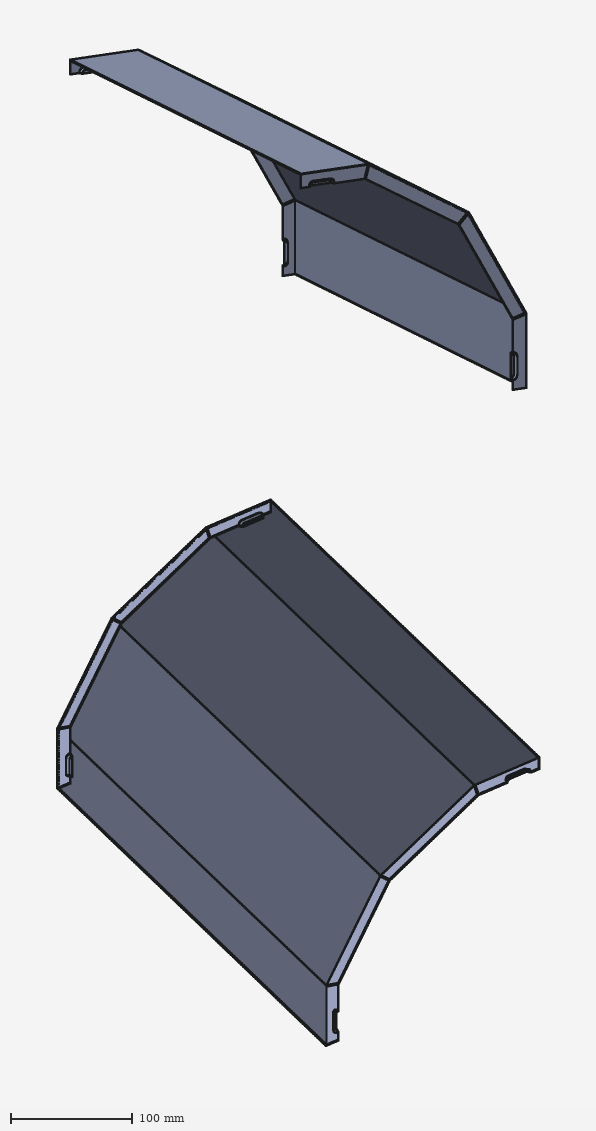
import cadquery as cq
import math

length = 398.0
envelope = 211.35
thickness = 1.0
end_leg = 63.8
bend_angle = 30.0
flange_width = 12.5

slit_width = 1.0
slit_start = 2.0

dimple_straight = 15.0
dimple_radius = 4.0
dimple_floor_radius = 2.5
dimple_depth = 3.0
dimple_end_distance = 20.0

half_length = length / 2
half_size = envelope / 2
bend = math.radians(bend_angle)
slope_leg = (envelope - end_leg) / (math.cos(bend) + math.sin(bend))
dimple_draft = math.atan2(dimple_radius - dimple_floor_radius, dimple_depth)
dimple_wall_offset = thickness / math.cos(dimple_draft)


def profile_line(depth):
    """Profile in (Y, Z) at a depth below the outer skin, with mitred bends.

    Runs from the free end of the top leg to the free end of the vertical leg.
    """
    shift = depth * math.tan(bend / 2)
    leg_y = -half_size + end_leg - shift
    leg_z = half_size - depth
    slope = slope_leg - 2 * shift
    middle_y = leg_y + slope * math.cos(bend)
    middle_z = leg_z - slope * math.sin(bend)
    return [
        (-half_size, leg_z),
        (leg_y, leg_z),
        (middle_y, middle_z),
        (leg_z, leg_y),
        (leg_z, -half_size),
    ]


def band(near_depth, far_depth, width):
    """Solid between two depths, running in +X from the -X end of the part."""
    outline = profile_line(near_depth) + profile_line(far_depth)[::-1]
    return cq.Workplane("YZ", origin=(-half_length, 0, 0)).polyline(outline).close().extrude(width)


def swap_legs(body):
    """Mirror image that exchanges Y and Z, carrying the top leg onto the vertical leg."""
    return body.mirror("XZ").rotate((0, 0, 0), (1, 0, 0), -90)


def slit(near, far):
    """Cutter through the flange, from the point near toward the point far."""
    direction = math.degrees(math.atan2(far[1] - near[1], far[0] - near[0]))
    return (
        cq.Workplane("XY")
        .box(2 * thickness, 2 * flange_width, slit_width, centered=(True, False, True))
        .rotate((0, 0, 0), (1, 0, 0), direction)
        .translate((-half_length + thickness / 2, near[0], near[1]))
    )


def slit_flange():
    """Flange at the -X end, slit along the bisector of each bend."""
    body = band(thickness, flange_width, thickness)
    bend_points = list(zip(profile_line(slit_start), profile_line(flange_width)))[1:-1]
    for near, far in bend_points:
        body = body.cut(slit(near, far))
    return body


def half_slot(radius, depth):
    """Tapered half slot on the top leg's flange, centred on the flange's free edge."""
    free_edge_z = half_size - flange_width
    dimple_y = -half_size + dimple_end_distance
    full_slot = (
        cq.Workplane("YZ", origin=(-half_length, dimple_y, free_edge_z))
        .slot2D(dimple_straight + 2 * radius, 2 * radius)
        .extrude(depth, taper=math.degrees(dimple_draft))
    )
    above_edge = (
        cq.Workplane("XY", origin=(0, 0, free_edge_z))
        .box(length, envelope, flange_width, centered=(True, True, False))
    )
    return full_slot.intersect(above_edge)


def dimpled_flange():
    """Slit flange with a dimple pressed inward on each of its two end legs."""
    bulge = half_slot(dimple_radius + dimple_wall_offset, dimple_depth + thickness)
    hollow = half_slot(dimple_radius, dimple_depth)
    body = slit_flange().union(bulge).union(swap_legs(bulge))
    return body.cut(hollow).cut(swap_legs(hollow))


panel = band(0, thickness, length)
flange = dimpled_flange()

result = panel.union(flange, clean=False).union(flange.mirror("YZ"), clean=False)